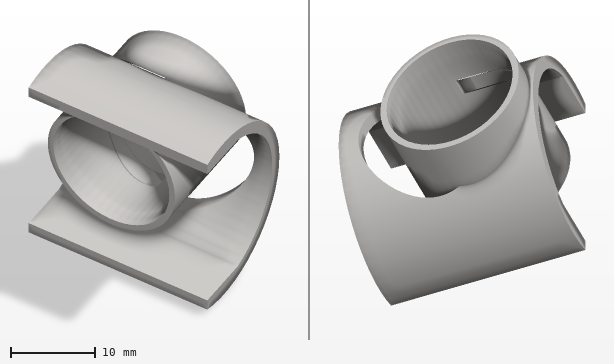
import cadquery as cq
import math

clip_length = 25.0
clip_outer_radius = 12.54
clip_inner_radius = 10.93
lip_half_gap = 10.45
clip_front_y = -3.69

opening_diameter = 18.1
opening_center_x = 0.9

tube_outer_diameter = 17.8
tube_inner_diameter = 16.2
tube_length = 16.0
tube_center_x = -3.2

slot_clearance = 0.1
slot_end_x = -1.38

seat_center_x = tube_center_x + slot_clearance


def cylinder_along_y(diameter, center_x, length):
    """Solid cylinder reaching from the XZ plane toward +Y."""
    return cq.Workplane("XZ").center(center_x, 0).circle(diameter / 2).extrude(-length)


def make_clip():
    front_z = math.sqrt(clip_outer_radius**2 - clip_front_y**2)
    lip_start_y = math.sqrt(clip_inner_radius**2 - lip_half_gap**2)
    profile = (
        cq.Workplane("YZ", origin=(-clip_length / 2, 0, 0))
        .moveTo(clip_front_y, front_z)
        .threePointArc((clip_outer_radius, 0), (clip_front_y, -front_z))
        .lineTo(clip_front_y, -lip_half_gap)
        .lineTo(lip_start_y, -lip_half_gap)
        .threePointArc((clip_inner_radius, 0), (lip_start_y, lip_half_gap))
        .lineTo(clip_front_y, lip_half_gap)
        .close()
    )
    clip = profile.extrude(clip_length)
    opening = cylinder_along_y(opening_diameter, opening_center_x, tube_length)
    seat_hole = cylinder_along_y(tube_inner_diameter, seat_center_x, tube_length)
    return clip.cut(opening).cut(seat_hole)


def make_tube_slot():
    """Curved band along X that clears both faces of the clip and stops at the slot end."""
    band_start_x = tube_center_x - tube_outer_diameter / 2
    return (
        cq.Workplane("YZ", origin=(band_start_x, 0, 0))
        .circle(clip_outer_radius + slot_clearance)
        .circle(clip_inner_radius - slot_clearance)
        .extrude(slot_end_x - band_start_x)
    )


def make_tube():
    bore = cylinder_along_y(tube_inner_diameter, tube_center_x, tube_length)
    tube = cylinder_along_y(tube_outer_diameter, tube_center_x, tube_length)
    return tube.cut(bore).cut(make_tube_slot())


clip = make_clip()
tube = make_tube()

result = cq.Compound.makeCompound([clip.val(), tube.val()])